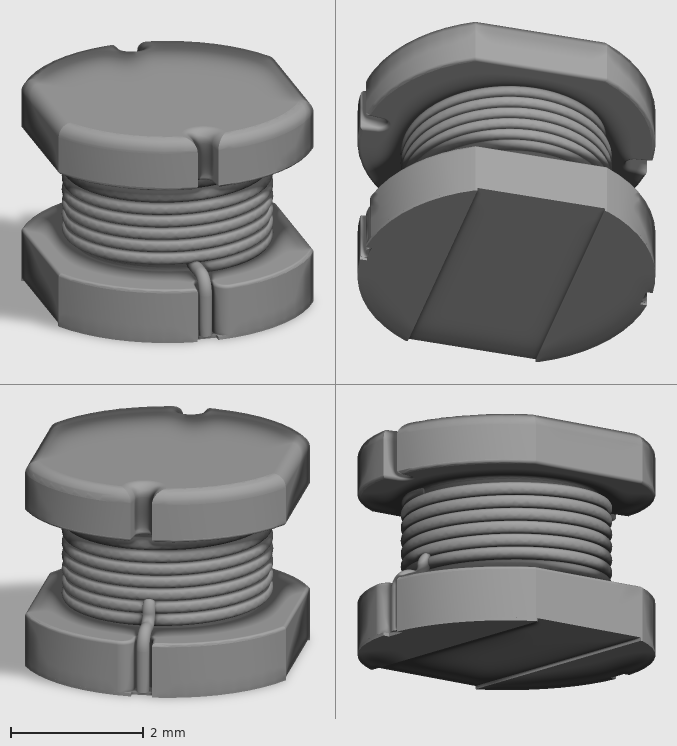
import cadquery as cq
import math

flange_radius = 2.25
flange_width = 4.0
flange_height = 0.8
crown_fillet = 0.2
edge_fillet = 0.05

slot_end_radius = 0.135
slot_taper = math.radians(6)
slot_center_x = 2.0
slot_corner_fillet = 0.2

post_radius = 1.4
window_height = 1.6

terminal_thickness = 0.05
terminal_inner_x = 1.0
terminal_notch_x = 2.14

wire_radius = 0.098
coil_radius = 1.5
coil_pitch = 0.2
coil_full_turns = 7
coil_end_angle = 130.0
coil_start_rise = 0.05

tail_x = -1.31
tail_y = 0.31
tail_rise = 0.02
tail_stub = 0.04

lead_rise = 0.1
bend_center_x = 1.85
bend_radius = 0.25
rise_start_x = 1.79
rise_radius = 0.19
entry_radius = 0.15
groove_depth = 0.05
end_lead_inner_x = 1.405

lower_bottom = terminal_thickness
lower_top = lower_bottom + flange_height
upper_bottom = lower_top + window_height
upper_top = upper_bottom + flange_height
coil_start_z = lower_top + coil_start_rise
coil_turns = coil_full_turns + coil_end_angle / 360
coil_end_z = coil_start_z + coil_turns * coil_pitch
lead_z = lower_top + lead_rise
wire_slot_x = bend_center_x + bend_radius


def flange_outline(bottom, height):
    """Round disc with two flats facing -Y and +Y."""
    base = cq.Workplane("XY").workplane(offset=bottom)
    disc = base.circle(flange_radius).extrude(height)
    band = base.rect(2 * flange_radius, flange_width).extrude(height)
    return disc.intersect(band)


def slot_half_width(x):
    """Half the slot opening at distance x from the part axis."""
    return slot_end_radius / math.cos(slot_taper) + (x - slot_center_x) * math.tan(slot_taper)


def cut_slots(plate):
    """Cut the round-ended, slightly flaring wire slot at both X ends of a flange."""
    tangent_x = slot_center_x - slot_end_radius * math.sin(slot_taper)
    tangent_y = slot_end_radius * math.cos(slot_taper)
    outer_x = flange_radius + slot_end_radius
    outer_y = slot_half_width(outer_x)
    for side in (-1, 1):
        slot = (
            cq.Workplane("XY")
            .moveTo(side * outer_x, outer_y)
            .lineTo(side * tangent_x, tangent_y)
            .threePointArc((side * (slot_center_x - slot_end_radius), 0), (side * tangent_x, -tangent_y))
            .lineTo(side * outer_x, -outer_y)
            .close()
            .extrude(upper_top)
        )
        plate = plate.cut(slot)
    return plate


def make_upper_flange():
    """Flange with a large crown fillet that also runs around its slots."""
    flange = cut_slots(flange_outline(upper_bottom, flange_height))
    flange = flange.faces(">Z").edges().fillet(crown_fillet)
    return flange.faces("<Z").edges().fillet(edge_fillet)


def make_lower_flange():
    """Flange with one rounded corner at the mouth of each slot."""
    flange = cut_slots(flange_outline(lower_bottom, flange_height))
    corner_y = slot_half_width(flange_radius)
    corner_x = math.sqrt(flange_radius**2 - corner_y**2)
    corner_z = lower_bottom + flange_height / 2
    for side in (-1, 1):
        corner = cq.selectors.NearestToPointSelector((side * corner_x, corner_y, corner_z))
        flange = flange.edges("|Z").edges(corner).fillet(slot_corner_fillet)
    return flange.faces(">Z").edges().fillet(edge_fillet)


def make_core():
    """Drum core: two flanges on a round post with filleted corners."""
    post = cq.Workplane("XY").workplane(offset=lower_top).circle(post_radius).extrude(window_height)
    core = make_lower_flange().union(post).union(make_upper_flange())
    reach = post_radius + edge_fillet / 2
    for level in (lower_top, upper_bottom):
        corner = cq.selectors.BoxSelector(
            (-reach, -reach, level - edge_fillet / 2),
            (reach, reach, level + edge_fillet / 2),
            boundingbox=True,
        )
        core = core.edges(corner).fillet(edge_fillet)
    return core


def make_terminals():
    """Thin plate under each end of the lower flange, notched at the wire slot."""
    plate = flange_outline(0, terminal_thickness)
    gap = cq.Workplane("XY").rect(2 * terminal_inner_x, 2 * flange_width).extrude(terminal_thickness)
    notch_depth = flange_radius - terminal_notch_x
    notches = (
        cq.Workplane("XY")
        .pushPoints([(-flange_radius, 0), (flange_radius, 0)])
        .rect(2 * notch_depth, 2 * slot_half_width(flange_radius))
        .extrude(terminal_thickness)
    )
    return plate.cut(gap).cut(notches)


def sweep_wire(path, start, direction):
    """Round wire along a path that leaves the start point in the given direction."""
    profile = cq.Workplane(cq.Plane(origin=start, normal=direction)).circle(wire_radius)
    return profile.sweep(path)


def make_coil():
    """Right-handed helix starting on the +X side."""
    base = cq.Vector(0, 0, coil_start_z)
    helix = cq.Wire.makeHelix(coil_pitch, coil_turns * coil_pitch, coil_radius, center=base)
    profile = cq.Workplane("XZ").center(coil_radius, coil_start_z).circle(wire_radius)
    return profile.sweep(cq.Workplane(obj=helix), isFrenet=True)


def make_tail():
    """Free end of the winding, curving inward into the post."""
    angle = math.radians(coil_end_angle)
    slope = coil_pitch / (2 * math.pi * coil_radius)
    start = cq.Vector(coil_radius * math.cos(angle), coil_radius * math.sin(angle), coil_end_z)
    heading = cq.Vector(-math.sin(angle), math.cos(angle), slope)
    arc = cq.Edge.makeTangentArc(start, heading, cq.Vector(tail_x, tail_y, coil_end_z + tail_rise))
    stub = cq.Edge.makeLine(arc.endPoint(), arc.endPoint() + arc.tangentAt(1) * tail_stub)
    path = cq.Workplane(obj=cq.Wire.assembleEdges([arc, stub]))
    return sweep_wire(path, start, heading)


def lead_path(side):
    """Centre line from the terminal up the slot and over onto the flange."""
    diag = bend_radius * math.sqrt(0.5)
    bend_z = lead_z - bend_radius
    return (
        cq.Workplane("XZ")
        .moveTo(side * wire_slot_x, terminal_thickness)
        .lineTo(side * wire_slot_x, bend_z)
        .threePointArc((side * (bend_center_x + diag), bend_z + diag), (side * bend_center_x, lead_z))
    )


def make_end_lead():
    """Lead that joins the bottom start of the coil on the +X side."""
    path = lead_path(1).lineTo(end_lead_inner_x, lead_z)
    return sweep_wire(path, (wire_slot_x, 0, terminal_thickness), (0, 0, 1))


def make_side_lead():
    """Separate lead on the -X side, ending against the outside of the winding."""
    rise_x = rise_start_x - rise_radius
    rise_z = lead_z + rise_radius
    rise_diag = rise_radius * math.sqrt(0.5)
    entry_x = rise_x - entry_radius
    entry_diag = entry_radius * math.sqrt(0.5)
    path = (
        lead_path(-1)
        .lineTo(-rise_start_x, lead_z)
        .threePointArc((-rise_start_x + rise_diag, rise_z - rise_diag), (-rise_x, rise_z))
        .threePointArc((-entry_x - entry_diag, rise_z + entry_diag), (-entry_x, rise_z + entry_radius))
    )
    return sweep_wire(path, (-wire_slot_x, 0, terminal_thickness), (0, 0, 1))


def make_winding():
    """Coil with its tail at the top and its lead on the +X side at the bottom."""
    return make_coil().union(make_tail()).union(make_end_lead())


groove_floor = (
    cq.Workplane("XY")
    .workplane(offset=lower_top)
    .circle(coil_radius + wire_radius - groove_depth)
    .extrude(window_height)
)

winding = make_winding()
side_lead = make_side_lead().cut(groove_floor).cut(winding)
core = make_core().cut(winding)
terminals = make_terminals()

result = cq.Compound.makeCompound([core.val(), winding.val(), side_lead.val(), *terminals.vals()])